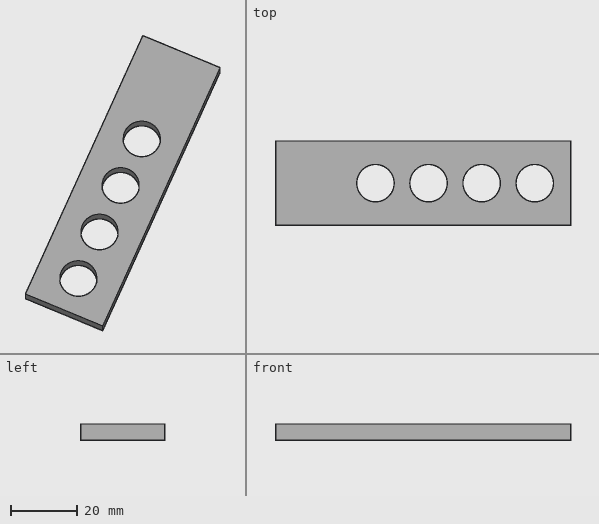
import cadquery as cq

length = 88.9
width = 25.4
thickness = 5.0

hole_diameter = 11.2
hole_count = 4
hole_pitch = 16.0
end_distance = 10.85

last_hole_x = length / 2 - end_distance
hole_centers = [(last_hole_x - i * hole_pitch, 0) for i in range(hole_count)]

plate = cq.Workplane("XY").box(length, width, thickness)

result = plate.faces(">Z").workplane().pushPoints(hole_centers).hole(hole_diameter)